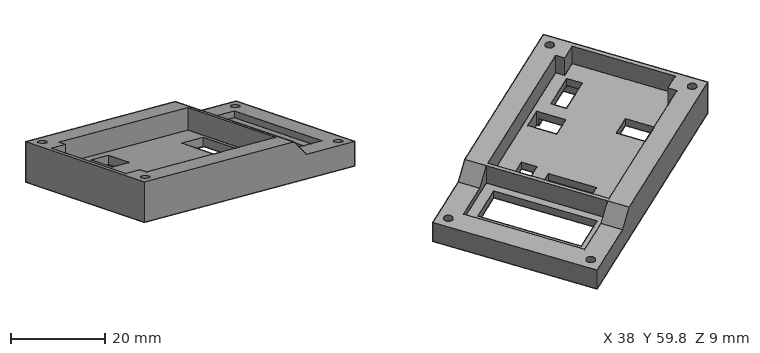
import cadquery as cq

width = 37.95
length = 59.8
height = 9.0

base_top = 2.0
plate_top = 4.0
low_frame_top = 5.5

wall_front = 11.8
wall_back = 12.6
ramp_run = height - low_frame_top

pocket_width = 28.0
display_pocket_back = 24.9
main_pocket_front = -24.85
notch_width = 23.8
notch_front = -28.9

hole_diameter = 2.0
hole_spacing_x = 32.9
hole_spacing_y = 54.75

cavity_width = 24.85
cavity_front = -24.15

display_window = (-0.35, 18.55, 23.85, 8.55)
connector_window = (-2.5, 7.8, 11.05, 6.1)
slot_width = 3.6
slot_length = 8.55
button_width = 6.7
button_length = 4.85
openings = [
    display_window,
    connector_window,
    (7.9, 7.95, slot_width, slot_length),
    (9.3, -19.85, slot_width, slot_length),
    (9.6, -9.8, button_width, button_length),
    (-8.6, -15.05, button_width, button_length),
]


def block(x_size, y_min, y_max, z_min, z_max):
    """Box centred on X between the given Y and Z limits."""
    return (
        cq.Workplane("XY", origin=(0, (y_min + y_max) / 2, z_min))
        .box(x_size, y_max - y_min, z_max - z_min, centered=(True, True, False))
    )


def plate(z_min, z_max):
    """Flat layer with all the openings cut through it."""
    layer = block(width, -length / 2, length / 2, z_min, z_max)
    for x, y, x_size, y_size in openings:
        cutter = block(x_size, y - y_size / 2, y + y_size / 2, z_min, z_max)
        layer = layer.cut(cutter.translate((x, 0, 0)))
    return layer


def base():
    """Bottom layer with the shared cavity joining its openings."""
    cavity_back = display_window[1] + display_window[3] / 2
    cavity = block(cavity_width, cavity_front, cavity_back, 0, base_top)
    return plate(0, base_top).cut(cavity)


def frame():
    """Upper layer: side profile with a ramp, hollowed on both sides of the wall."""
    profile = [
        (-length / 2, plate_top),
        (length / 2, plate_top),
        (length / 2, low_frame_top),
        (wall_back + ramp_run, low_frame_top),
        (wall_back, height),
        (-length / 2, height),
    ]
    body = cq.Workplane("YZ").polyline(profile).close().extrude(width / 2, both=True)
    pockets = [
        (pocket_width, wall_back, display_pocket_back),
        (pocket_width, main_pocket_front, wall_front),
        (notch_width, notch_front, main_pocket_front),
    ]
    for x_size, y_min, y_max in pockets:
        body = body.cut(block(x_size, y_min, y_max, plate_top, height))
    return body


screw_holes = (
    cq.Workplane("XY")
    .rect(hole_spacing_x, hole_spacing_y, forConstruction=True)
    .vertices()
    .circle(hole_diameter / 2)
    .extrude(height)
)

result = base().union(plate(base_top, plate_top)).union(frame()).cut(screw_holes)